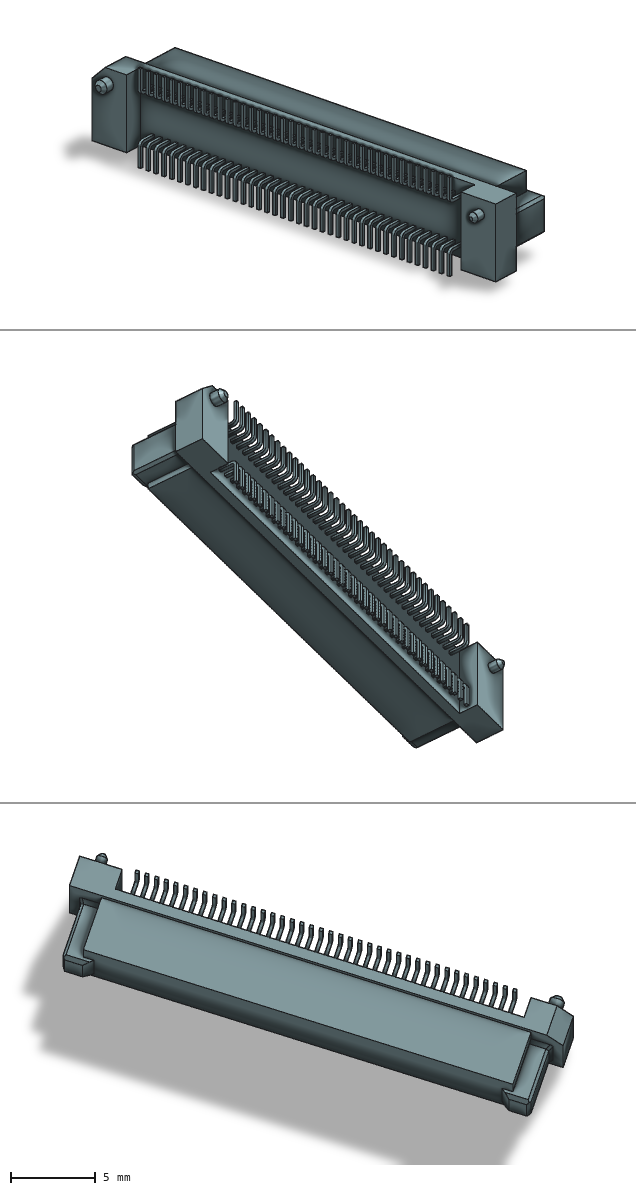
import cadquery as cq


base_length = 30.6
base_height = 5.08
base_depth = 1.93
foot_width = 2.63
recess_depth = 1.3
key_chamfer = 1.0

shroud_length = 26.62
shroud_height = 4.3
shroud_depth = 3.4

post_end_inset = 0.8
post_height = 2.48
post_z = -0.45
post_overhang = 0.45
post_edge_chamfer = 0.18
post_bevel_side = 0.18
post_bevel_depth = 0.28
post_tip_width = 1.1
post_ramp_run = 0.58
post_flare_side = 0.18
post_flare_depth = 0.28

peg_x = 14.1
peg_drop = 1.0
peg_length = 0.85
peg_cone_length = 0.25
left_peg_diameter = 0.9
left_peg_tip_diameter = 0.43
right_peg_diameter = 0.67
right_peg_tip_diameter = 0.28

contact_count = 40
contact_row_span = 23.4
contact_width = 0.2
contact_thickness = 0.2
contact_inner_z = 1.5
contact_outer_z = 3.25
contact_bend_radius = 0.37
contact_embed = 0.15

contact_pitch = contact_row_span / (contact_count - 1)
half_length = base_length / 2
base_top = base_height / 2
recess_length = base_length - 2 * foot_width
shroud_end_y = base_depth + shroud_depth
post_end_y = shroud_end_y + post_overhang
post_outer_x = half_length - post_end_inset
post_tip_outer_x = post_outer_x - post_bevel_side
post_tip_inner_x = post_tip_outer_x - post_tip_width
post_inner_x = post_tip_inner_x - post_ramp_run


def block(length, height, y_start, y_end):
    """Box centred on X and Z between two Y positions."""
    depth = y_end - y_start
    return cq.Workplane("XY").box(length, depth, height).translate((0, y_start + depth / 2, 0))


def make_base():
    base = block(base_length, base_height, 0, base_depth)
    base = base.edges("<X and >Z").chamfer(key_chamfer)
    return base.cut(block(recess_length, base_height, 0, recess_depth))


def post_section(plane, grow=0.0):
    """Post cross-section with its two outer edges chamfered, grown on its exposed sides."""
    half_height = post_height / 2 + grow
    outer_x = post_outer_x + grow
    chamfer = post_edge_chamfer
    return plane.polyline([
        (post_inner_x, post_z - half_height),
        (outer_x - chamfer, post_z - half_height),
        (outer_x, post_z - half_height + chamfer),
        (outer_x, post_z + half_height - chamfer),
        (outer_x - chamfer, post_z + half_height),
        (post_inner_x, post_z + half_height),
    ]).close()


def make_post():
    """Guide post on the +X end: bevelled tip, ramp on the inner side, flared root."""
    root_plane = cq.Workplane("XZ", origin=(0, base_depth, 0))
    post = post_section(root_plane).extrude(base_depth - post_end_y)

    bevel_y = post_end_y - post_bevel_depth
    plan = (
        cq.Workplane("XY", origin=(0, 0, post_z))
        .polyline([
            (post_inner_x, base_depth),
            (post_outer_x, base_depth),
            (post_outer_x, bevel_y),
            (post_tip_outer_x, post_end_y),
            (post_tip_inner_x, post_end_y),
            (post_inner_x, shroud_end_y),
        ])
        .close()
        .extrude(post_height / 2, both=True)
    )

    post_top = post_z + post_height / 2
    post_bottom = post_z - post_height / 2
    profile = (
        cq.Workplane("YZ", origin=(post_inner_x, 0, 0))
        .polyline([
            (base_depth, post_bottom),
            (bevel_y, post_bottom),
            (post_end_y, post_bottom + post_bevel_side),
            (post_end_y, post_top - post_bevel_side),
            (bevel_y, post_top),
            (base_depth, post_top),
        ])
        .close()
        .extrude(post_outer_x - post_inner_x)
    )

    flare = post_section(root_plane, post_flare_side).workplane(offset=-post_flare_depth)
    flare = post_section(flare).loft(ruled=True)
    return post.intersect(plan).intersect(profile).union(flare)


def make_peg(x, diameter, tip_diameter):
    """Round peg with a conical tip, standing out of the mounting face along -Y."""
    shank_length = peg_length - peg_cone_length
    peg = (
        cq.Workplane("XY")
        .polyline([
            (0, base_depth / 2),
            (diameter / 2, base_depth / 2),
            (diameter / 2, -shank_length),
            (tip_diameter / 2, -peg_length),
            (0, -peg_length),
        ])
        .close()
        .revolve(360, (0, 0, 0), (0, 1, 0))
    )
    return peg.translate((x, 0, base_top - peg_drop))


def make_contact_row():
    """Upper row of bent contacts, each coming out of the recess floor, then up along
    the mounting face."""
    root_y = recess_depth + contact_embed
    inner_bend = contact_bend_radius - contact_thickness
    contact = (
        cq.Workplane("YZ")
        .moveTo(root_y, contact_inner_z)
        .lineTo(contact_bend_radius, contact_inner_z)
        .radiusArc((0, contact_inner_z + contact_bend_radius), contact_bend_radius)
        .lineTo(0, contact_outer_z)
        .lineTo(contact_thickness, contact_outer_z)
        .lineTo(contact_thickness, contact_inner_z + contact_bend_radius)
        .radiusArc((contact_bend_radius, contact_inner_z + contact_thickness), -inner_bend)
        .lineTo(root_y, contact_inner_z + contact_thickness)
        .close()
        .extrude(contact_width / 2, both=True)
    )
    first_x = -contact_row_span / 2
    return [contact.translate((first_x + i * contact_pitch, 0, 0)) for i in range(contact_count)]


post = make_post()
housing = (
    make_base()
    .union(block(shroud_length, shroud_height, base_depth, shroud_end_y))
    .union(post)
    .union(post.mirror("YZ"))
    .union(make_peg(-peg_x, left_peg_diameter, left_peg_tip_diameter))
    .union(make_peg(peg_x, right_peg_diameter, right_peg_tip_diameter))
)

upper_row = make_contact_row()
lower_row = [contact.mirror("XY") for contact in upper_row]
contacts = [contact.val() for contact in upper_row + lower_row]
result = cq.Workplane("XY").newObject([housing.val().fuse(*contacts)])